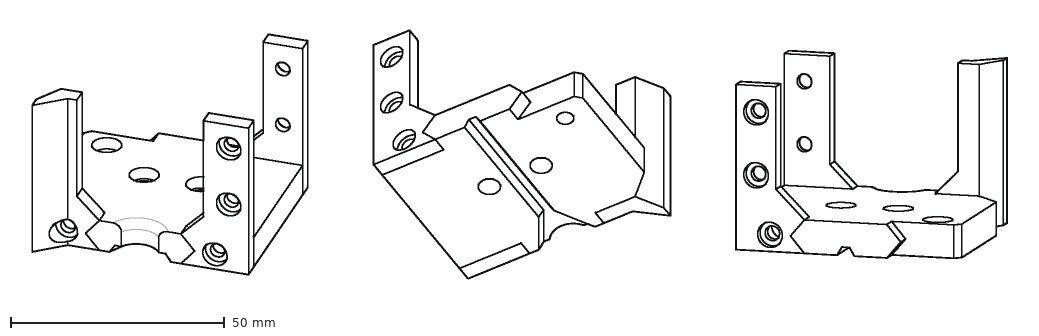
import cadquery as cq
import math

plate_width = 53.5
plate_thickness = 8.0
overall_depth = 44.0
post_thickness = 4.0
front_corner_cut = 5.95
rear_corner_cut = 1.5
half_width = plate_width / 2
mid_height = plate_thickness / 2
rear_inner_face = overall_depth - post_thickness

tongue_half_width = 10.05
tongue_point_depth = 3.4
tongue_point_x = tongue_half_width + tongue_point_depth

mouth_radius = 5.5
mouth_half_chord = 4.6
mouth_centre_y = -math.sqrt(mouth_radius**2 - mouth_half_chord**2)
mouth_fillet = 2.0

channel_depth = 2.0
channel_wall_slope = math.radians(30)
channel_flare_angle = math.radians(30)
channel_front_half = 6.25
channel_neck_half = 0.95

plate_holes = [(-7.0, 24.0, 5.2), (7.0, 24.0, 5.2), (-19.8, 34.75, 4.0)]
plate_bore_diameter = 7.0
plate_bore_depth = 3.0

insert_hole_diameter = 5.0
insert_hole_depth = 6.0

post_height = 39.37
front_column_x = 15.6
rear_column_x = 17.0
post_hole_diameter = 3.5
post_bore_diameter = 6.0
post_bore_depth = 2.0
clamp_hole_x = 18.45
column_hole_x = 21.85
column_hole_heights = [18.0, 33.0]

fin_root_left = half_width - front_corner_cut
fin_root_right = 17.85
fin_tip_x = 24.75
fin_tip_y = -5.71
fin_shoulder_y = -2.6


def vertical_slab(points, front_y, depth):
    """Extrude an XZ outline rearward from front_y."""
    return cq.Workplane("XZ", origin=(0, front_y, 0)).polyline(points).close().extrude(-depth)


def tongue(front_y):
    points = [
        (-tongue_half_width, 0),
        (tongue_half_width, 0),
        (tongue_point_x, mid_height),
        (tongue_half_width, plate_thickness),
        (-tongue_half_width, plate_thickness),
        (-tongue_point_x, mid_height),
    ]
    return vertical_slab(points, front_y, post_thickness)


def mouth():
    """Revolved cutter: a round bore that flares out through a fillet at the top."""
    flare_start = plate_thickness - mouth_fillet
    flare_radius = mouth_radius + mouth_fillet
    arc_offset = mouth_fillet * math.sqrt(0.5)
    return (
        cq.Workplane("XZ", origin=(0, mouth_centre_y, 0))
        .lineTo(mouth_radius, 0)
        .lineTo(mouth_radius, flare_start)
        .threePointArc(
            (flare_radius - arc_offset, flare_start + arc_offset),
            (flare_radius, plate_thickness),
        )
        .lineTo(0, plate_thickness)
        .close()
        .revolve(360, (0, 0, 0), (0, 1, 0))
    )


def channel_outline(front_half, neck_half):
    """Half-widths narrow along the flare to a neck that runs on to the rear of the plate."""
    neck_y = (front_half - neck_half) / math.tan(channel_flare_angle)
    right_side = [(front_half, 0), (neck_half, neck_y), (neck_half, overall_depth)]
    left_side = [(-x, y) for x, y in reversed(right_side)]
    return right_side + left_side


def channel():
    neck_run = channel_depth * math.tan(channel_wall_slope)
    front_run = neck_run / math.cos(channel_flare_angle)
    bottom = channel_outline(channel_front_half + front_run, channel_neck_half + neck_run)
    roof = channel_outline(channel_front_half, channel_neck_half)
    section = cq.Workplane("XY").polyline(bottom).close().workplane(offset=channel_depth)
    return section.polyline(roof).close().loft(ruled=True)


def insert_hole(x, face_y, inward):
    plane = cq.Plane(origin=(x, face_y, mid_height), normal=(0, inward, 0))
    return cq.Workplane(plane).circle(insert_hole_diameter / 2).extrude(insert_hole_depth)


def plate_body():
    outline = [
        (-half_width + front_corner_cut, post_thickness),
        (half_width, post_thickness),
        (half_width, rear_inner_face),
        (-half_width + rear_corner_cut, rear_inner_face),
        (-half_width, rear_inner_face - rear_corner_cut),
        (-half_width, post_thickness + front_corner_cut),
    ]
    body = cq.Workplane("XY").polyline(outline).close().extrude(plate_thickness)
    body = body.union(tongue(0)).union(tongue(rear_inner_face))
    body = body.cut(mouth()).cut(channel())
    for x, y, diameter in plate_holes:
        body = (
            body.faces(">Z").workplane(origin=(x, y, plate_thickness))
            .cboreHole(diameter, plate_bore_diameter, plate_bore_depth)
        )
    for x in (-clamp_hole_x, clamp_hole_x):
        body = body.cut(insert_hole(x, post_thickness, 1))
    return body.cut(insert_hole(clamp_hole_x, rear_inner_face, -1))


def post_blank(front_y, column_x, outer_x):
    """Right-hand post: a column with a 45 degree foot and a V notch for the tongue point."""
    points = [
        (tongue_half_width, 0),
        (outer_x, 0),
        (outer_x, post_height),
        (column_x, post_height),
        (column_x, plate_thickness + column_x - tongue_half_width),
        (tongue_half_width, plate_thickness),
        (tongue_point_x, mid_height),
    ]
    return vertical_slab(points, front_y, post_thickness)


def screw_hole(x, z, outer_y, inward):
    """Counterbored hole through a post; its wide end also clears the material in front of the face."""
    plane = cq.Plane(origin=(x, outer_y, z), normal=(0, inward, 0))
    drill = cq.Workplane(plane).circle(post_hole_diameter / 2).extrude(post_thickness)
    bore = cq.Workplane(plane).circle(post_bore_diameter / 2).extrude(post_bore_depth)
    relief = cq.Workplane(plane).circle(post_bore_diameter / 2).extrude(fin_tip_y)
    return drill.union(bore).union(relief)


def right_post(front_y, column_x, outer_y, inward):
    post = post_blank(front_y, column_x, half_width)
    post = post.cut(screw_hole(clamp_hole_x, mid_height, outer_y, inward))
    for z in column_hole_heights:
        post = post.cut(screw_hole(column_hole_x, z, outer_y, inward))
    return post


def left_post():
    post = post_blank(0, front_column_x, fin_root_right).mirror("YZ")
    fin_outline = [
        (-fin_root_right, post_thickness),
        (-fin_root_left, post_thickness),
        (-fin_tip_x, fin_shoulder_y),
        (-fin_tip_x, fin_tip_y),
        (-fin_root_right, 0),
    ]
    fin = cq.Workplane("XY").polyline(fin_outline).close().extrude(post_height)
    return post.union(fin).cut(screw_hole(-clamp_hole_x, mid_height, 0, 1))


plate = plate_body()
front_left_post = left_post()
front_right_post = right_post(0, front_column_x, 0, 1)
rear_right_post = right_post(rear_inner_face, rear_column_x, overall_depth, -1)

result = cq.Compound.makeCompound(
    [plate.val(), front_left_post.val(), front_right_post.val(), rear_right_post.val()]
)